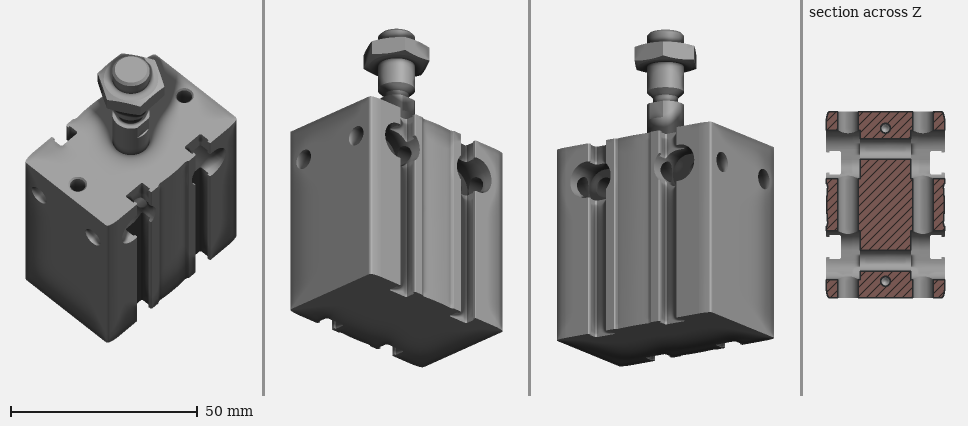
import cadquery as cq
import math

HOUSING_X = 32.0
HOUSING_Y = 50.0
HOUSING_Z = 53.0
HALF_X = HOUSING_X / 2
HALF_Y = HOUSING_Y / 2

SIDE_ARC_RADIUS = 10.0
SIDE_ARC_START_Y = 21.5
EDGE_ROUND = 0.85

GROOVE_FLOOR_X = 11.9
GROOVE_INNER_Y = 8.1
GROOVE_OUTER_Y = 14.45
LIP_THICKNESS = 1.0
LIP_INNER_Y = 8.7
LIP_OUTER_Y = 13.9
LIP_BEVEL = 0.25
GROOVE_CORNER_BEVEL = 0.3

PANEL_EDGE_X = 15.55
PANEL_CREST_X = 15.8
PANEL_EDGE_Y = 4.9
PANEL_STEP_Y = 5.6
PANEL_STEP_BEVEL = 0.25

SCREW_HOLE_DIAMETER = 5.5
SCREW_HOLE_Z = HOUSING_Z - 10.0
X_HOLE_Y = 15.0
Y_HOLE_X = 10.0
SCREW_SEAT_WIDTH = 10.0
SCREW_SEAT_INNER_Y = 12.0
SCREW_SEAT_DEPTH = 9.2

TAP_DIAMETER = 4.2
TAP_MOUTH_DIAMETER = 5.0
TAP_Y = 20.5
TAP_DEPTH = 10.0
DRILL_TIP_ANGLE = 118

ROD_DIAMETER = 10.0
SHOULDER_Z = 65.0
FLAT_WIDTH = 9.0
FLAT_HEIGHT = 4.6

TOP_Z = 85
NECK_DIAMETER = 6.8
NECK_FOOT_ROUND = 0.2
NECK_TOP_Z = 67.15
THREAD_BOTTOM_Z = 68.8
TIP_DIAMETER = 8.7
TIP_CHAMFER_HEIGHT = 0.7

NUT_WIDTH = 16.0
NUT_BOTTOM_Z = 75.8
NUT_HEIGHT = 5.0
NUT_FACE_DIAMETER = 14.6
NUT_CHAMFER_HEIGHT = 0.6


def housing_profile():
    """Quarter outline from the +X axis to the +Y axis, mirrored into the full section."""
    lip_back_x = HALF_X - LIP_THICKNESS

    side_arc_x = HALF_X - SIDE_ARC_RADIUS
    round_y = HALF_Y - EDGE_ROUND
    center_gap = SIDE_ARC_RADIUS - EDGE_ROUND
    join_angle = math.asin((round_y - SIDE_ARC_START_Y) / center_gap)
    round_x = side_arc_x + center_gap * math.cos(join_angle)

    def on_side_arc(angle):
        return (
            side_arc_x + SIDE_ARC_RADIUS * math.cos(angle),
            SIDE_ARC_START_Y + SIDE_ARC_RADIUS * math.sin(angle),
        )

    round_mid_angle = (join_angle + math.pi / 2) / 2
    round_middle = (
        round_x + EDGE_ROUND * math.cos(round_mid_angle),
        round_y + EDGE_ROUND * math.sin(round_mid_angle),
    )

    panel_rise = PANEL_CREST_X - PANEL_EDGE_X
    panel_radius = (PANEL_EDGE_Y**2 + panel_rise**2) / (2 * panel_rise)
    panel_mid_y = PANEL_EDGE_Y / 2
    panel_mid_x = PANEL_CREST_X - panel_radius + math.sqrt(panel_radius**2 - panel_mid_y**2)

    quarter = (
        cq.Workplane("XY")
        .moveTo(0, 0)
        .lineTo(PANEL_CREST_X, 0)
        .threePointArc((panel_mid_x, panel_mid_y), (PANEL_EDGE_X, PANEL_EDGE_Y))
        .lineTo(HALF_X - PANEL_STEP_BEVEL, PANEL_STEP_Y)
        .lineTo(HALF_X, PANEL_STEP_Y + PANEL_STEP_BEVEL)
        .lineTo(HALF_X, LIP_INNER_Y - LIP_BEVEL)
        .lineTo(HALF_X - LIP_BEVEL, LIP_INNER_Y)
        .lineTo(lip_back_x, LIP_INNER_Y)
        .lineTo(lip_back_x, GROOVE_INNER_Y)
        .lineTo(GROOVE_FLOOR_X + GROOVE_CORNER_BEVEL, GROOVE_INNER_Y)
        .lineTo(GROOVE_FLOOR_X, GROOVE_INNER_Y + GROOVE_CORNER_BEVEL)
        .lineTo(GROOVE_FLOOR_X, GROOVE_OUTER_Y - GROOVE_CORNER_BEVEL)
        .lineTo(GROOVE_FLOOR_X + GROOVE_CORNER_BEVEL, GROOVE_OUTER_Y)
        .lineTo(lip_back_x, GROOVE_OUTER_Y)
        .lineTo(lip_back_x, LIP_OUTER_Y)
        .lineTo(HALF_X - LIP_BEVEL, LIP_OUTER_Y)
        .lineTo(HALF_X, LIP_OUTER_Y + LIP_BEVEL)
        .lineTo(HALF_X, SIDE_ARC_START_Y)
        .threePointArc(on_side_arc(join_angle / 2), on_side_arc(join_angle))
        .threePointArc(round_middle, (round_x, HALF_Y))
        .lineTo(0, HALF_Y)
        .close()
        .extrude(HOUSING_Z)
    )
    half = quarter.union(quarter.mirror("YZ"))
    return half.union(half.mirror("XZ")).clean()


def tapped_hole(y):
    radius = TAP_DIAMETER / 2
    mouth_radius = TAP_MOUTH_DIAMETER / 2
    tip_height = radius / math.tan(math.radians(DRILL_TIP_ANGLE / 2))
    return (
        cq.Workplane("XZ")
        .polyline(
            [
                (0, 0),
                (mouth_radius, 0),
                (radius, radius - mouth_radius),
                (radius, -TAP_DEPTH),
                (0, -TAP_DEPTH - tip_height),
            ]
        )
        .close()
        .revolve(360, (0, 0, 0), (0, 1, 0))
        .translate((0, y, HOUSING_Z))
    )


def screw_seat(side_x, side_y):
    """Round-ended pocket that reaches in from one X side, around one X hole."""
    length = X_HOLE_Y - SCREW_SEAT_INNER_Y + SCREW_SEAT_WIDTH
    center_y = (X_HOLE_Y + SCREW_SEAT_INNER_Y) / 2
    return (
        cq.Workplane("YZ", origin=(side_x * HALF_X, side_y * center_y, SCREW_HOLE_Z))
        .slot2D(length, SCREW_SEAT_WIDTH)
        .extrude(-side_x * SCREW_SEAT_DEPTH)
    )


def make_housing():
    housing = housing_profile()
    x_holes = (
        cq.Workplane("YZ", origin=(0, 0, SCREW_HOLE_Z))
        .pushPoints([(-X_HOLE_Y, 0), (X_HOLE_Y, 0)])
        .circle(SCREW_HOLE_DIAMETER / 2)
        .extrude(HALF_X, both=True)
    )
    y_holes = (
        cq.Workplane("XZ", origin=(0, 0, SCREW_HOLE_Z))
        .pushPoints([(-Y_HOLE_X, 0), (Y_HOLE_X, 0)])
        .circle(SCREW_HOLE_DIAMETER / 2)
        .extrude(HALF_Y, both=True)
    )
    housing = housing.cut(x_holes).cut(y_holes)
    for side_y in (-1, 1):
        housing = housing.cut(tapped_hole(side_y * TAP_Y))
        for side_x in (-1, 1):
            housing = housing.cut(screw_seat(side_x, side_y))
    return housing


def make_piston_rod():
    """Rod that stands on the housing: two wrench flats, a narrow neck and a threaded end."""
    rod_radius = ROD_DIAMETER / 2
    neck_radius = NECK_DIAMETER / 2
    foot_radius = neck_radius + NECK_FOOT_ROUND
    foot_top_z = SHOULDER_Z + NECK_FOOT_ROUND
    foot_offset = NECK_FOOT_ROUND * math.cos(math.pi / 4)
    foot_middle = (foot_radius - foot_offset, foot_top_z - foot_offset)
    rod = (
        cq.Workplane("XZ")
        .moveTo(0, HOUSING_Z)
        .lineTo(rod_radius, HOUSING_Z)
        .lineTo(rod_radius, SHOULDER_Z)
        .lineTo(foot_radius, SHOULDER_Z)
        .threePointArc(foot_middle, (neck_radius, foot_top_z))
        .lineTo(neck_radius, NECK_TOP_Z)
        .lineTo(rod_radius, THREAD_BOTTOM_Z)
        .lineTo(rod_radius, TOP_Z - TIP_CHAMFER_HEIGHT)
        .lineTo(TIP_DIAMETER / 2, TOP_Z)
        .lineTo(0, TOP_Z)
        .close()
        .revolve(360, (0, 0, 0), (0, 1, 0))
    )
    flat_depth = (ROD_DIAMETER - FLAT_WIDTH) / 2
    flat_center_z = SHOULDER_Z - FLAT_HEIGHT / 2
    for side_x in (-1, 1):
        flat_center_x = side_x * (FLAT_WIDTH + flat_depth) / 2
        flat_cutter = cq.Workplane("XY").box(flat_depth, ROD_DIAMETER, FLAT_HEIGHT)
        rod = rod.cut(flat_cutter.translate((flat_center_x, 0, flat_center_z)))
    return rod


def make_nut():
    """Hexagon nut with flats on +X and -X, chamfered on both faces."""
    corner_radius = NUT_WIDTH / math.sqrt(3)
    face_radius = NUT_FACE_DIAMETER / 2
    hexagon = (
        cq.Workplane("XY")
        .polygon(6, 2 * corner_radius)
        .extrude(NUT_HEIGHT)
        .rotate((0, 0, 0), (0, 0, 1), 30)
    )
    chamfer_envelope = (
        cq.Workplane("XZ")
        .polyline(
            [
                (0, 0),
                (face_radius, 0),
                (corner_radius, NUT_CHAMFER_HEIGHT),
                (corner_radius, NUT_HEIGHT - NUT_CHAMFER_HEIGHT),
                (face_radius, NUT_HEIGHT),
                (0, NUT_HEIGHT),
            ]
        )
        .close()
        .revolve(360, (0, 0, 0), (0, 1, 0))
    )
    bore = cq.Workplane("XY").circle(ROD_DIAMETER / 2).extrude(NUT_HEIGHT)
    return hexagon.intersect(chamfer_envelope).cut(bore).translate((0, 0, NUT_BOTTOM_Z))


housing = make_housing()
piston_rod = make_piston_rod()
nut = make_nut()

result = cq.Compound.makeCompound([housing.val(), piston_rod.val(), nut.val()])